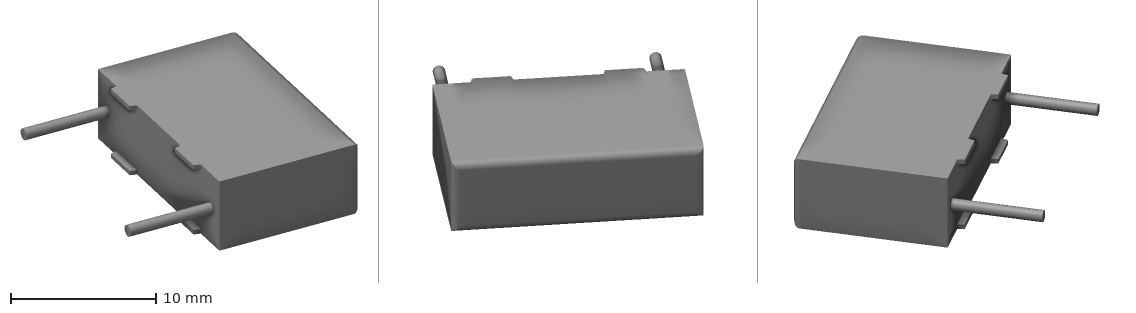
import cadquery as cq


case_width = 17.5
case_height = 11.0
case_thickness = 5.5
crown_radius = 0.5

foot_height = 0.5
foot_root_width = 2.97
foot_tip_width = 2.7
foot_thickness = 0.35
foot_spacing = 9.2

lead_diameter = 0.85
lead_length = 6.5
lead_spacing = 15.0


def make_foot(center_x, bottom_z):
    """One foot, tapering in width from its root on the base face to its tip."""
    half_root = foot_root_width / 2
    half_tip = foot_tip_width / 2
    return (
        cq.Workplane("XY", origin=(center_x, 0, bottom_z))
        .moveTo(-half_root, 0)
        .lineTo(-half_tip, -foot_height)
        .lineTo(half_tip, -foot_height)
        .lineTo(half_root, 0)
        .close()
        .extrude(foot_thickness)
    )


def make_case():
    """Block with a rounded +Y rim and four feet, flush with its broad faces."""
    case = (
        cq.Workplane("XY")
        .box(case_width, case_height, case_thickness, centered=(True, False, True))
        .faces(">Y")
        .edges()
        .fillet(crown_radius)
    )
    lower_foot_z = -case_thickness / 2
    upper_foot_z = case_thickness / 2 - foot_thickness
    for center_x in (-foot_spacing / 2, foot_spacing / 2):
        for bottom_z in (lower_foot_z, upper_foot_z):
            case = case.union(make_foot(center_x, bottom_z))
    return case


def make_lead(center_x):
    """Round wire lead standing on the base face and pointing toward -Y."""
    return (
        cq.Workplane("XZ", origin=(center_x, 0, 0))
        .circle(lead_diameter / 2)
        .extrude(lead_length)
    )


case = make_case()
leads = [make_lead(center_x) for center_x in (-lead_spacing / 2, lead_spacing / 2)]

result = cq.Compound.makeCompound([case.val(), *[lead.val() for lead in leads]])